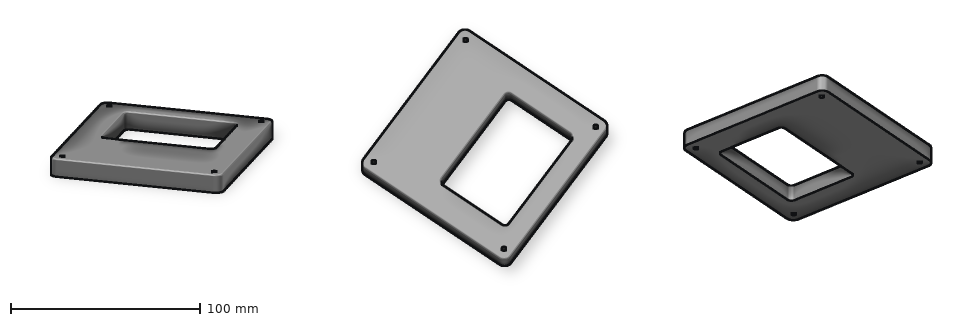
import cadquery as cq

width = 95.4
depth = 95.7
height = 10.0
corner_radius = 4.3
rim_radius = 1.0

window_width = 62.4
window_depth = 43.1
window_center_y = 14.4
window_corner_radius = 2.5

hole_diameter = 2.4
hole_spacing_x = 84.0
hole_spacing_y = 84.4


def make_plate():
    plate = cq.Workplane("XY").rect(width, depth).extrude(height)
    return plate.edges("|Z").fillet(corner_radius)


def make_window():
    window = cq.Workplane("XY").rect(window_width, window_depth).extrude(height)
    return window.edges("|Z").fillet(window_corner_radius).translate((0, window_center_y, 0))


def make_screw_holes():
    centers = cq.Workplane("XY").rect(hole_spacing_x, hole_spacing_y, forConstruction=True).vertices()
    return centers.circle(hole_diameter / 2).extrude(height)


body = make_plate().cut(make_window())
body = body.faces(">Z").edges().fillet(rim_radius)
result = body.cut(make_screw_holes())